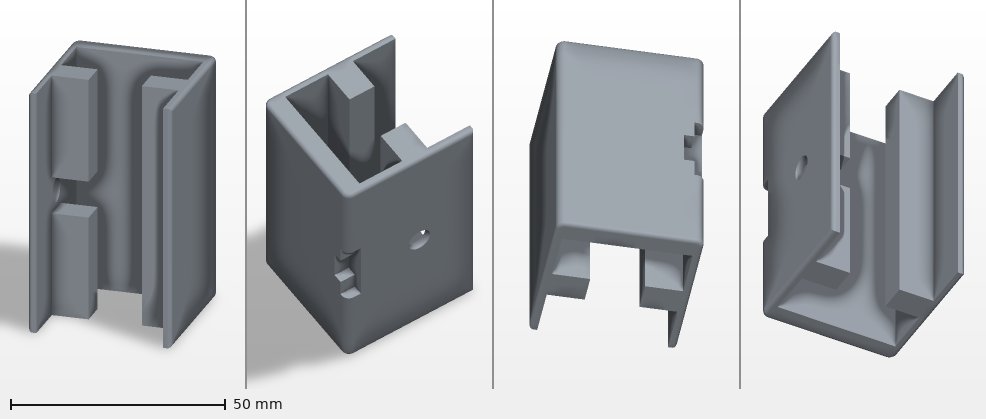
import cadquery as cq

width = 35.0
depth = 36.0
height = 60.0

side_wall = 2.0
back_wall = 5.0
corner_radius = 2.0
edge_radius = 1.0

rib_length = 9.0
rib_thickness = 7.0
rib_setback = 17.0
rib_gap_height = 9.0

hole_diameter = 6.0

slot_depth_y = 4.0
wide_slot_height = 17.0
wide_slot_depth_x = 2.5
narrow_slot_height = 8.0
narrow_slot_depth_x = 5.0

left = -width / 2
back = depth / 2
rib_center_y = back - rib_setback - rib_thickness / 2


def make_channel():
    """U-shaped channel with rounded outer edges."""
    block = cq.Workplane("XY").box(width, depth, height)
    block = block.edges("|Z and >Y").fillet(corner_radius)
    front_side_edges = block.edges("|Z and <Y")
    end_edges = block.faces("<Z or >Z").edges("not <Y")
    block = front_side_edges.add(end_edges).fillet(edge_radius)
    cavity = (
        cq.Workplane("XY")
        .box(width - 2 * side_wall, depth, height)
        .translate((0, -back_wall, 0))
    )
    return block.cut(cavity)


def make_rib(side, rib_height):
    """Rib standing on one side wall; side is -1 for -X, +1 for +X."""
    center_x = side * (width / 2 - side_wall - rib_length / 2)
    rib = cq.Workplane("XY").box(rib_length, rib_thickness, rib_height)
    return rib.translate((center_x, rib_center_y, 0))


def make_slot(slot_height, slot_depth_x):
    """Rectangular cutter at the back edge of the -X side."""
    slot = cq.Workplane("XY").box(slot_depth_x, slot_depth_y, slot_height)
    return slot.translate((left + slot_depth_x / 2, back - slot_depth_y / 2, 0))


def make_hole():
    """Cutter for the round hole along X through the -X wall."""
    hole = cq.Workplane("YZ", origin=(left, rib_center_y, 0))
    return hole.circle(hole_diameter / 2).extrude(side_wall)


broken_rib = make_rib(-1, height).cut(make_rib(-1, rib_gap_height))

result = make_channel()
result = result.union(broken_rib)
result = result.union(make_rib(1, height))
result = result.cut(make_hole())
result = result.cut(make_slot(wide_slot_height, wide_slot_depth_x))
result = result.cut(make_slot(narrow_slot_height, narrow_slot_depth_x))